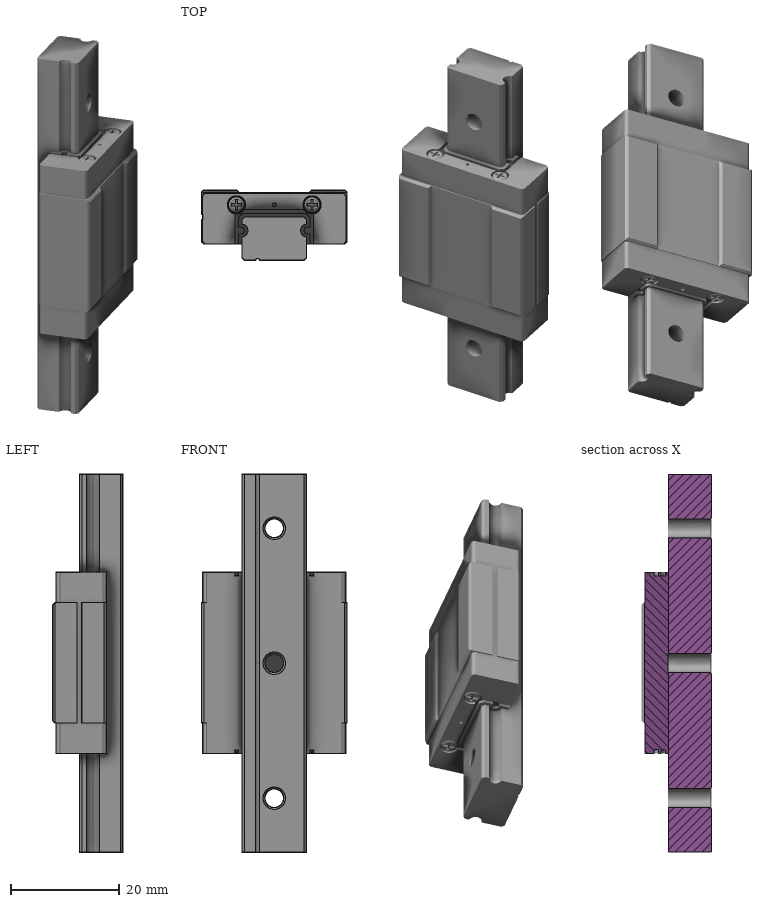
import cadquery as cq


RAIL_LENGTH = 70.0
RAIL_WIDTH = 12.0
RAIL_HEIGHT = 8.05
RAIL_CHAMFER = 0.5
RACE_DEPTH = 1.1
RACE_HALF_HEIGHT = 1.2
RACE_FLANK_RADIUS = 1.25
RACE_Y = 5.5
MARK_GROOVE_RADIUS = 0.35
MARK_GROOVE_X = -3.1
BOLT_HOLE_DIAMETER = 3.4
BOLT_HOLE_CHAMFER = 0.35
BOLT_PITCH = 25.0
BOLT_COUNT = 3

BLOCK_WIDTH = 27.0
BLOCK_LENGTH = 22.25
CARRIAGE_BOTTOM = 3.0
CARRIAGE_TOP = 13.0
BLOCK_CHAMFER = 0.5
PAD_INNER_X = 6.5
PAD_HEIGHT = 0.455
PAD_CHAMFER = 0.4
SIDE_GROOVE_RADIUS = 0.5
SIDE_GROOVE_Y = 8.05

CAP_WIDTH = 26.5
CAP_TOP = 12.4
CAP_CORNER_RADIUS = 0.7
CARRIAGE_LENGTH = 33.6
CARRIAGE_SHIFT = 0.1

SEAL_DEPTH = 0.6
SEAL_OUTER_WIDTH = 14.55
SEAL_OUTER_TOP = 9.4
LIP_THICKNESS = 0.6
LIP_CHAMFER = 0.7
LIP_TONGUE_RADIUS = 0.6

SCREW_X = 7.0
SCREW_Y = 10.3
SCREW_SEAT_RADIUS = 1.7
SCREW_SEAT_DEPTH = 0.7
SCREW_HEAD_RADIUS = 1.5
SCREW_HEAD_HEIGHT = 0.6
SCREW_HEAD_FILLET = 0.4
CROSS_WIDTH = 0.4
CROSS_LENGTH = 1.95
CROSS_DEPTH = 0.4
PORT_RADIUS = 0.35
PORT_DEPTH = 0.7

SIDES = (-1, 1)


def bar(width, bottom, top, length):
    """Rectangular bar along Z, centred on X = 0 and Z = 0."""
    return cq.Workplane("XY").box(width, top - bottom, length).translate((0, (bottom + top) / 2, 0))


def rod(x, y, radius, length):
    """Round bar along Z, centred on Z = 0."""
    return cq.Workplane("XY").center(x, y).circle(radius).extrude(length / 2, both=True)


def ball_race(side, length):
    """Cutter for one ball groove: two equal arcs that meet in a point, closed by the rail side."""
    mouth_x = side * RAIL_WIDTH / 2
    apex = (mouth_x - side * RACE_DEPTH, RACE_Y)
    bulge = side * RACE_FLANK_RADIUS
    return (
        cq.Workplane("XY")
        .moveTo(mouth_x, RACE_Y + RACE_HALF_HEIGHT)
        .radiusArc(apex, -bulge)
        .radiusArc((mouth_x, RACE_Y - RACE_HALF_HEIGHT), -bulge)
        .close()
        .extrude(length / 2, both=True)
    )


def rail_profile_bar(length):
    """Rail section with its two ball grooves, without holes."""
    section = bar(RAIL_WIDTH, 0, RAIL_HEIGHT, length).edges("|Z").chamfer(RAIL_CHAMFER)
    for side in SIDES:
        section = section.cut(ball_race(side, length))
    return section


def make_rail():
    rail = rail_profile_bar(RAIL_LENGTH)
    rail = rail.cut(rod(MARK_GROOVE_X, 0, MARK_GROOVE_RADIUS, RAIL_LENGTH))
    for index in range(BOLT_COUNT):
        z = (index - (BOLT_COUNT - 1) / 2) * BOLT_PITCH
        rail = rail.cut(bolt_hole().translate((0, 0, z)))
    return rail


def bolt_hole():
    """Through hole along Y, chamfered at the rail base."""
    radius = BOLT_HOLE_DIAMETER / 2
    profile = [
        (0, 0),
        (radius + BOLT_HOLE_CHAMFER, 0),
        (radius, BOLT_HOLE_CHAMFER),
        (radius, RAIL_HEIGHT),
        (0, RAIL_HEIGHT),
    ]
    return cq.Workplane("XY").polyline(profile).close().revolve(360, (0, 0, 0), (0, 1, 0))


def mounting_pad(side):
    """Raised pad with a chamfer all around its top face."""
    pad_width = BLOCK_WIDTH / 2 - PAD_INNER_X
    pad_x = side * (BLOCK_WIDTH / 2 + PAD_INNER_X) / 2
    foot = cq.Workplane("XZ", origin=(pad_x, CARRIAGE_TOP - PAD_HEIGHT, 0))
    pad = foot.rect(pad_width, BLOCK_LENGTH).extrude(-PAD_HEIGHT)
    return pad.faces(">Y").chamfer(PAD_CHAMFER)


def middle_block():
    block = bar(BLOCK_WIDTH, CARRIAGE_BOTTOM, CARRIAGE_TOP - PAD_HEIGHT, BLOCK_LENGTH)
    block = block.edges("|Z and <Y").chamfer(BLOCK_CHAMFER)
    for side in SIDES:
        block = block.union(mounting_pad(side))
    return block.cut(rod(-BLOCK_WIDTH / 2, SIDE_GROOVE_Y, SIDE_GROOVE_RADIUS, BLOCK_LENGTH))


def end_caps():
    """Both end caps as one bar that runs through the middle block."""
    caps = bar(CAP_WIDTH, CARRIAGE_BOTTOM, CAP_TOP, CARRIAGE_LENGTH)
    return caps.edges("|Z").fillet(CAP_CORNER_RADIUS)


def seal_groove():
    """Groove around the rail, cut into the upper end face."""
    outer = bar(SEAL_OUTER_WIDTH, 0, SEAL_OUTER_TOP, SEAL_DEPTH)
    lip_half_width = RAIL_WIDTH / 2 + LIP_THICKNESS
    lip_top = RAIL_HEIGHT + LIP_THICKNESS
    lip = bar(2 * lip_half_width, 0, lip_top, SEAL_DEPTH).edges("|Z and >Y").chamfer(LIP_CHAMFER)
    tongue_length = lip_half_width - (RAIL_WIDTH / 2 - RACE_DEPTH + LIP_THICKNESS)
    for side in SIDES:
        tongue_slot = (
            cq.Workplane("XY")
            .center(side * lip_half_width, RACE_Y)
            .slot2D(2 * tongue_length, 2 * LIP_TONGUE_RADIUS)
            .extrude(SEAL_DEPTH / 2, both=True)
        )
        lip = lip.cut(tongue_slot)
    return outer.cut(lip).translate((0, 0, (CARRIAGE_LENGTH - SEAL_DEPTH) / 2))


def screw_seat():
    return cq.Workplane("XY").circle(SCREW_SEAT_RADIUS).extrude(SCREW_SEAT_DEPTH)


def screw_head():
    """Round-edged head with a cross recess, standing on the seat floor."""
    head = cq.Workplane("XY").circle(SCREW_HEAD_RADIUS).extrude(SCREW_HEAD_HEIGHT)
    head = head.faces(">Z").edges().fillet(SCREW_HEAD_FILLET)
    slot_bottom = SCREW_HEAD_HEIGHT - CROSS_DEPTH
    for length_x, length_y in ((CROSS_LENGTH, CROSS_WIDTH), (CROSS_WIDTH, CROSS_LENGTH)):
        arm = cq.Workplane("XY").workplane(offset=slot_bottom).rect(length_x, length_y)
        head = head.cut(arm.extrude(CROSS_DEPTH))
    return head


def grease_port():
    end_z = CARRIAGE_LENGTH / 2
    return cq.Workplane("XY", origin=(0, SCREW_Y, end_z)).circle(PORT_RADIUS).extrude(-PORT_DEPTH)


def finish_upper_end(carriage):
    """Seal groove, grease port and two screws in the upper end face."""
    seat_z = CARRIAGE_LENGTH / 2 - SCREW_SEAT_DEPTH
    carriage = carriage.cut(seal_groove()).cut(grease_port())
    for side in SIDES:
        place = (side * SCREW_X, SCREW_Y, seat_z)
        carriage = carriage.cut(screw_seat().translate(place)).union(screw_head().translate(place))
    return carriage


def make_carriage():
    carriage = middle_block().union(end_caps()).cut(rail_profile_bar(CARRIAGE_LENGTH))
    for _ in SIDES:
        carriage = finish_upper_end(carriage).mirror("XY")
    return carriage.translate((0, 0, CARRIAGE_SHIFT))


rail = make_rail()
carriage = make_carriage()

result = cq.Compound.makeCompound([rail.val(), *carriage.vals()])